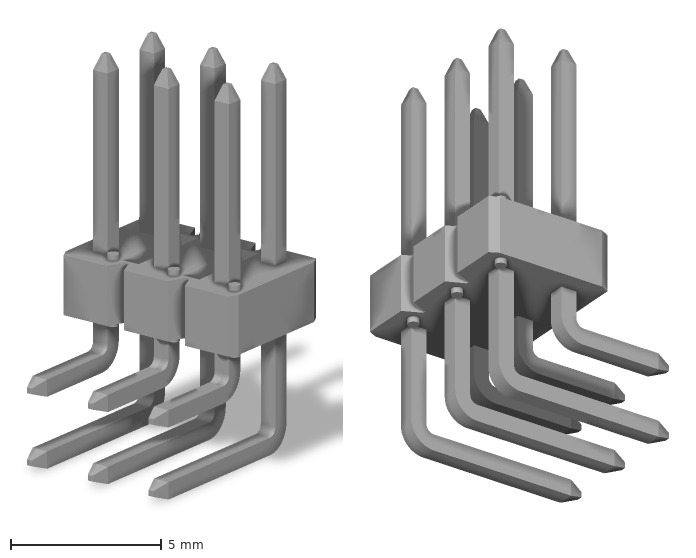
import cadquery as cq

overall_height = 13.58
pitch = 2.54
columns = 3

housing_depth = 4.83
housing_height = 2.12
end_margin = 1.07
corner_x = 0.18
corner_y = 0.34
notch_mouth = 0.72
notch_root = 0.11
notch_depth = 0.68

pocket_width = 0.73
pocket_length = 3.26
pocket_floor_width = 0.1
pocket_floor_length = 2.7
pocket_depth = 0.5

stud_diameter = 0.41
stud_height = 0.2
stud_offset_x = 0.67
stud_offset_y = 1.75

pin_width = 0.61
tip_width = 0.2
tip_length = 0.57
bend_inner_radius = 0.3
long_tail_drop = 4.47
tail_reach = 5.47

housing_width = (columns - 1) * pitch + 2 * end_margin
column_xs = [(i - (columns - 1) / 2) * pitch for i in range(columns)]
gap_xs = [x + pitch / 2 for x in column_xs[:-1]]
row_y = pitch / 2
pin_top = overall_height - long_tail_drop
bend_outer_radius = bend_inner_radius + pin_width


def make_housing():
    """Block with chamfered corners and V-notches between the columns."""
    half_x = housing_width / 2
    half_y = housing_depth / 2
    outline = []
    for side in (1, -1):
        outline.append((-side * half_x, side * (half_y - corner_y)))
        outline.append((-side * (half_x - corner_x), side * half_y))
        for gap_x in gap_xs:
            centre = side * gap_x
            outline.append((centre - side * notch_mouth / 2, side * half_y))
            outline.append((centre - side * notch_root / 2, side * (half_y - notch_depth)))
            outline.append((centre + side * notch_root / 2, side * (half_y - notch_depth)))
            outline.append((centre + side * notch_mouth / 2, side * half_y))
        outline.append((side * (half_x - corner_x), side * half_y))
        outline.append((side * half_x, side * (half_y - corner_y)))
    return cq.Workplane("XY").polyline(outline).close().extrude(housing_height)


def make_pocket(gap_x):
    """Cutter for one pocket, narrowing from the top face to its floor."""
    return (
        cq.Workplane("XY", origin=(gap_x, 0, housing_height))
        .rect(pocket_width, pocket_length)
        .workplane(offset=-pocket_depth)
        .rect(pocket_floor_width, pocket_floor_length)
        .loft(ruled=True)
    )


def make_studs():
    """Studs in diagonal pairs around each column, standing out of both faces."""
    centres = []
    for x in column_xs:
        centres.append((x - stud_offset_x, stud_offset_y))
        centres.append((x + stud_offset_x, -stud_offset_y))
    return (
        cq.Workplane("XY", origin=(0, 0, -stud_height))
        .pushPoints(centres)
        .circle(stud_diameter / 2)
        .extrude(housing_height + 2 * stud_height)
    )


def make_tip(base_plane):
    """Pointed pin end growing along the normal of the given plane."""
    return (
        cq.Workplane(base_plane)
        .rect(pin_width, pin_width)
        .workplane(offset=tip_length)
        .rect(tip_width, tip_width)
        .loft(ruled=True)
    )


def make_pin(x, y, tail_drop):
    """Pin that runs down through the housing at (x, y), then bends towards -Y."""
    tail_axis_z = pin_width / 2 - tail_drop
    shank_top = pin_top - tip_length
    tail_end_y = tip_length - tail_reach
    back_y = y + pin_width / 2
    front_y = y - pin_width / 2
    tail_top_z = tail_axis_z + pin_width / 2
    bend_y = front_y - bend_inner_radius
    bend_z = tail_top_z + bend_inner_radius

    bent_bar = (
        cq.Workplane("YZ", origin=(x, 0, 0))
        .moveTo(back_y, shank_top)
        .lineTo(back_y, bend_z)
        .radiusArc((bend_y, -tail_drop), bend_outer_radius)
        .lineTo(tail_end_y, -tail_drop)
        .lineTo(tail_end_y, tail_top_z)
        .lineTo(bend_y, tail_top_z)
        .radiusArc((front_y, bend_z), -bend_inner_radius)
        .lineTo(front_y, shank_top)
        .close()
        .extrude(pin_width / 2, both=True)
    )
    upper_tip = make_tip(cq.Plane(origin=(x, y, shank_top)))
    tail_tip = make_tip(cq.Plane(origin=(x, tail_end_y, tail_axis_z), xDir=(1, 0, 0), normal=(0, -1, 0)))
    return bent_bar.union(upper_tip).union(tail_tip)


result = make_housing()
for gap_x in gap_xs:
    result = result.cut(make_pocket(gap_x))
result = result.union(make_studs())
for column_x in column_xs:
    result = result.union(make_pin(column_x, row_y, long_tail_drop))
    result = result.union(make_pin(column_x, -row_y, long_tail_drop - pitch))